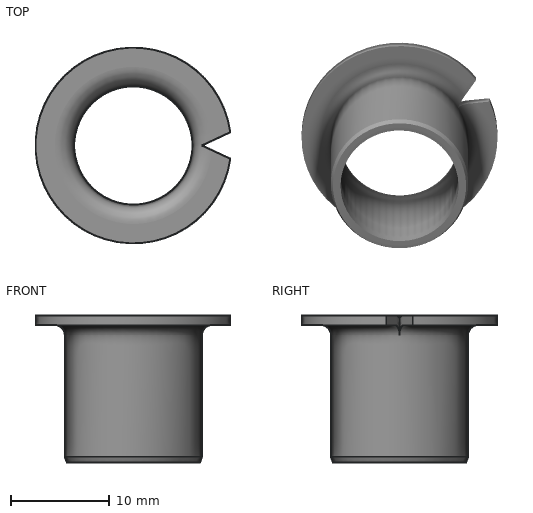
import cadquery as cq
import math

flange_radius = 9.98
height = 15.0
wall = 1.0
bore_radius = 6.0
inner_bend_radius = 2.0
chamfer_height = 0.6
chamfer_angle = 20.0
notch_angle = 50.0

barrel_radius = bore_radius + wall
outer_bend_radius = inner_bend_radius - wall
chamfer_width = chamfer_height * math.tan(math.radians(chamfer_angle))
bend_center_r = bore_radius + inner_bend_radius
bend_center_z = height - inner_bend_radius


def bend_midpoint(radius):
    """Middle of the quarter arc that joins the barrel to the flange."""
    offset = radius * math.sqrt(0.5)
    return bend_center_r - offset, bend_center_z + offset


def flanged_sleeve():
    """Wall section with concentric bends, revolved about Z."""
    section = (
        cq.Workplane("XZ")
        .moveTo(bore_radius, 0)
        .lineTo(barrel_radius - chamfer_width, 0)
        .lineTo(barrel_radius, chamfer_height)
        .lineTo(barrel_radius, bend_center_z)
        .threePointArc(bend_midpoint(outer_bend_radius), (bend_center_r, height - wall))
        .lineTo(flange_radius, height - wall)
        .lineTo(flange_radius, height)
        .lineTo(bend_center_r, height)
        .threePointArc(bend_midpoint(inner_bend_radius), (bore_radius, bend_center_z))
        .close()
    )
    return section.revolve(360, (0, 0, 0), (0, 1, 0))


def notch_cutter():
    """V wedge through the flange on +X, with its tip at the barrel's outer radius."""
    half_width = flange_radius * math.tan(math.radians(notch_angle / 2))
    wedge_end = barrel_radius + flange_radius
    return (
        cq.Workplane("XY", origin=(0, 0, bend_center_z))
        .moveTo(barrel_radius, 0)
        .lineTo(wedge_end, -half_width)
        .lineTo(wedge_end, half_width)
        .close()
        .extrude(inner_bend_radius)
    )


result = flanged_sleeve().cut(notch_cutter())